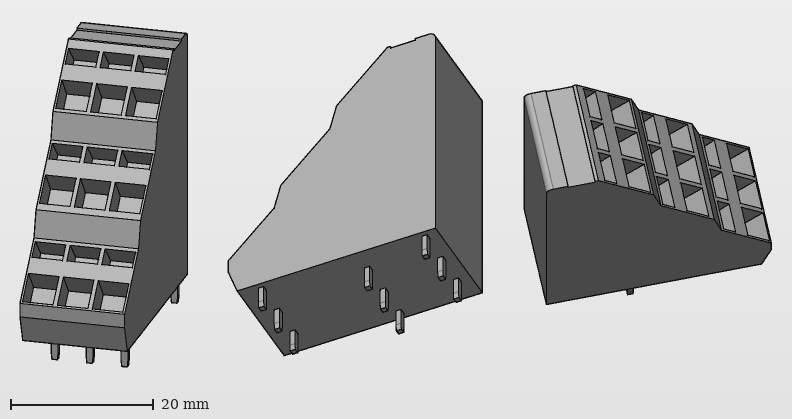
import cadquery as cq
import math


width = 15.25
depth = 32.2
total_height = 40.1
pin_length = 3.55
height = total_height - pin_length
pole_count = 3
pole_pitch = width / pole_count

rear_radius = 1.0
recess_rear = 3.13
recess_front = 6.98
recess_depth = 0.3

upper_face_top = 7.45
upper_face_bottom_z = 28.65
middle_face_top_z = 24.75
middle_face_bottom_z = 17.12
lower_face_top_z = 13.27
riser_angle = 15.0
bevel_top_z = 4.1
bevel_setback = 1.4

slope_angle = 45.0
opening_width = 4.45
opening_depth = 4.0
wire_opening_length = 4.37
wire_opening_draft = 0.35
screw_opening_length = 2.4
opening_gap = 2.5
wire_opening_bottom_z = [29.0, 17.85, 6.35]

pin_width = 1.0
pin_thickness = 0.8
pin_tip_width = 0.8
pin_tip_length = 1.0
rear_row = 2.05
middle_row = rear_row + 2 * pole_pitch
front_row = middle_row + 3 * pole_pitch
pin_stagger = pole_pitch / 4

riser_run = math.tan(math.radians(riser_angle))
upper_face_bottom = upper_face_top + height - upper_face_bottom_z
middle_face_top = upper_face_bottom + (upper_face_bottom_z - middle_face_top_z) * riser_run
middle_face_bottom = middle_face_top + middle_face_top_z - middle_face_bottom_z
lower_face_top = middle_face_bottom + (middle_face_bottom_z - lower_face_top_z) * riser_run
lower_face_bottom_z = lower_face_top_z - (depth - lower_face_top)

face_tops = [
    (upper_face_top, height),
    (middle_face_top, middle_face_top_z),
    (lower_face_top, lower_face_top_z),
]
pole_centers = [(pole - (pole_count - 1) / 2) * pole_pitch for pole in range(pole_count)]


def housing_block():
    """Side outline extruded across the width."""
    recess_z = height - recess_depth
    outline = (
        cq.Workplane("YZ", origin=(-width / 2, 0, 0))
        .moveTo(0, 0)
        .lineTo(0, height - rear_radius)
        .radiusArc((-rear_radius, height), -rear_radius)
        .lineTo(-recess_rear, height)
        .lineTo(-recess_rear, recess_z)
        .lineTo(-recess_front, recess_z)
        .lineTo(-recess_front, height)
        .lineTo(-upper_face_top, height)
        .lineTo(-upper_face_bottom, upper_face_bottom_z)
        .lineTo(-middle_face_top, middle_face_top_z)
        .lineTo(-middle_face_bottom, middle_face_bottom_z)
        .lineTo(-lower_face_top, lower_face_top_z)
        .lineTo(-depth, lower_face_bottom_z)
        .lineTo(-depth, bevel_top_z)
        .lineTo(-depth + bevel_setback, 0)
        .close()
    )
    return outline.extrude(width)


def opening_cutter(x_center, bottom_y, bottom_z, start, length, draft):
    """Pocket square to a sloped face, starting `start` up the slope from the given point.

    The end walls lean inwards by `draft` at the pocket floor.
    """
    slope_plane = cq.Plane(
        origin=(x_center - opening_width / 2, bottom_y, bottom_z),
        xDir=(0, math.cos(math.radians(slope_angle)), math.sin(math.radians(slope_angle))),
        normal=(1, 0, 0),
    )
    end = start + length
    return (
        cq.Workplane(slope_plane)
        .moveTo(start, 0)
        .lineTo(end, 0)
        .lineTo(end - draft, -opening_depth)
        .lineTo(start + draft, -opening_depth)
        .close()
        .extrude(opening_width)
    )


def make_housing():
    body = housing_block()
    screw_start = wire_opening_length + opening_gap
    for (face_top, face_top_z), bottom_z in zip(face_tops, wire_opening_bottom_z):
        bottom_y = -(face_top + face_top_z - bottom_z)
        for x in pole_centers:
            wire = opening_cutter(x, bottom_y, bottom_z, 0, wire_opening_length, wire_opening_draft)
            screw = opening_cutter(x, bottom_y, bottom_z, screw_start, screw_opening_length, 0)
            body = body.cut(wire).cut(screw)
    return body


def make_pin(x_center, row):
    """Flat pin below the housing, narrowing to its tip."""
    half_width = pin_width / 2
    half_tip = pin_tip_width / 2
    taper_z = pin_tip_length - pin_length
    pin = (
        cq.Workplane("XZ")
        .moveTo(-half_width, 0)
        .lineTo(half_width, 0)
        .lineTo(half_width, taper_z)
        .lineTo(half_tip, -pin_length)
        .lineTo(-half_tip, -pin_length)
        .lineTo(-half_width, taper_z)
        .close()
        .extrude(pin_thickness / 2, both=True)
    )
    return pin.translate((x_center, -row, 0))


housing = make_housing()

pins = []
for row, shift in [(rear_row, pin_stagger), (middle_row, -pin_stagger), (front_row, pin_stagger)]:
    for x in pole_centers:
        pins.append(make_pin(x + shift, row))

result = cq.Compound.makeCompound([housing.val(), *[pin.val() for pin in pins]])